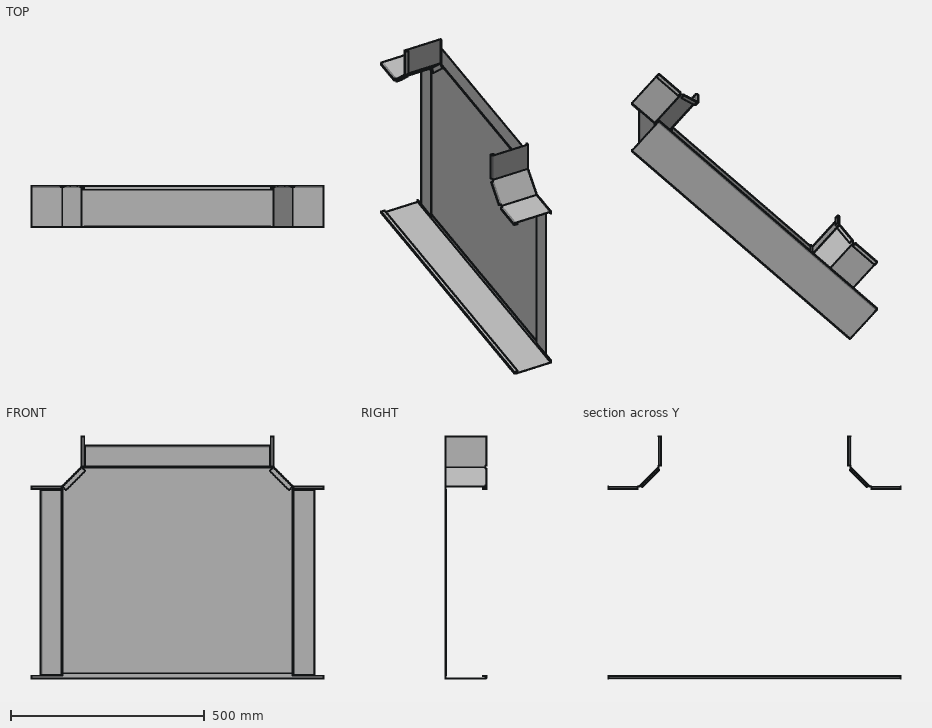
import cadquery as cq
import math

length = 754.0
depth = 107.0
height = 625.0

sheet = 1.5
bend_radius = 4.0
lip = 7.5
foot = 14.0
hem = 10.5
back_trim = 4.0
front_trim = 1.5

leg = 79.0
diagonal_run = 50.0
tongue_length = 56.0
tip_bevel = 4.0
tongue_gap = 1.5

half_body = length / 2 - leg
body_top = height - leg
shoulder = body_top - diagonal_run
half_neck = half_body - diagonal_run


def section_plane(start, end):
    """Section plane at the start of a run: local x to the right of travel, local y to the back."""
    dx, dz = end[0] - start[0], end[1] - start[1]
    return cq.Plane(origin=(start[0], 0, start[1]), xDir=(dz, 0, -dx), normal=(dx, 0, dz))


def back_lip(start, end, trim_start, trim_end):
    """Rounded bend, back lip and inward hem along one straight run."""
    run = math.dist(start, end) - trim_start - trim_end
    inner_radius = bend_radius - sheet
    bend_start = depth - bend_radius
    diagonal = math.sqrt(0.5)
    section = (
        cq.Workplane(section_plane(start, end))
        .workplane(offset=trim_start)
        .moveTo(0, bend_start)
        .threePointArc(
            (bend_radius * (1 - diagonal), bend_start + bend_radius * diagonal),
            (bend_radius, depth),
        )
        .lineTo(lip, depth)
        .lineTo(lip, depth - hem)
        .lineTo(lip - sheet, depth - hem)
        .lineTo(lip - sheet, depth - sheet)
        .lineTo(bend_radius, depth - sheet)
        .threePointArc(
            (bend_radius - inner_radius * diagonal, bend_start + inner_radius * diagonal),
            (sheet, bend_start),
        )
        .close()
    )
    return section.extrude(run)


def front_lip(start, end, width, trim_start, trim_end):
    """Flat front lip along one straight run."""
    run = math.dist(start, end) - trim_start - trim_end
    return (
        cq.Workplane(section_plane(start, end))
        .workplane(offset=trim_start)
        .rect(width, sheet, centered=False)
        .extrude(run)
    )


def web(outline):
    """Upright sheet between the front face and the back bend."""
    return cq.Workplane("XZ").polyline(outline).close().extrude(bend_radius - depth)


def make_straight_wall():
    """Wall along the whole bottom side."""
    right_end = (length / 2, 0)
    left_end = (-length / 2, 0)
    outline = [left_end, right_end, (length / 2, sheet), (-length / 2, sheet)]
    return (
        web(outline)
        .union(back_lip(right_end, left_end, 0, 0))
        .union(front_lip(right_end, left_end, lip, 0, 0))
        .union(front_lip((half_body, 0), (-half_body, 0), foot, 0, 0))
    )


def make_corner_wall():
    """Left corner wall: side leg, sloping part and top leg."""
    side_end = (-length / 2, shoulder)
    lower_bend = (-half_body, shoulder)
    upper_bend = (-half_neck, body_top)
    top_end = (-half_neck, height)
    miter = sheet * math.tan(math.pi / 8)
    outline = [
        side_end, lower_bend, upper_bend, top_end,
        (-half_neck + sheet, height),
        (-half_neck + sheet, body_top - miter),
        (-half_body + miter, shoulder - sheet),
        (-length / 2, shoulder - sheet),
    ]
    return (
        web(outline)
        .union(back_lip(side_end, lower_bend, 0, back_trim))
        .union(back_lip(lower_bend, upper_bend, back_trim, back_trim))
        .union(back_lip(upper_bend, top_end, back_trim, 0))
        .union(front_lip(side_end, lower_bend, lip, 0, front_trim))
        .union(front_lip(lower_bend, upper_bend, foot, 0, 0))
        .union(front_lip(upper_bend, top_end, lip, front_trim, 0))
    )


def tongue(start, end):
    """Set-back tongue along one edge of the panel, joggled by one sheet and bevelled at its tip."""
    tip_land = sheet / 2
    return (
        cq.Workplane(section_plane(start, end))
        .polyline([
            (-sheet, 0), (0, 0), (sheet, sheet),
            (tongue_length - tip_bevel, sheet),
            (tongue_length, 2 * sheet - tip_land),
            (tongue_length, 2 * sheet),
            (0, 2 * sheet), (-sheet, sheet),
        ])
        .close()
        .extrude(math.dist(start, end))
    )


def make_base(walls):
    """Base panel flush with the feet, with a tongue in each open end."""
    base = (
        cq.Workplane("XZ")
        .polyline([
            (-half_body, 0), (half_body, 0), (half_body, shoulder),
            (half_neck, body_top), (-half_neck, body_top), (-half_body, shoulder),
        ])
        .close()
        .extrude(-sheet)
    )
    inset = lip + tongue_gap
    side_top = shoulder - inset
    half_top = half_neck - inset
    tongue_edges = [
        ((-half_body, side_top), (-half_body, inset)),
        ((half_body, inset), (half_body, side_top)),
        ((half_top, body_top), (-half_top, body_top)),
    ]
    for start, end in tongue_edges:
        base = base.union(tongue(start, end))
    for wall in walls:
        base = base.cut(wall)
    return base


straight_wall = make_straight_wall()
left_corner = make_corner_wall()
right_corner = left_corner.mirror("YZ")
base = make_base([straight_wall, left_corner, right_corner])

bodies = [base, straight_wall, left_corner, right_corner]
result = cq.Compound.makeCompound([body.solids().val() for body in bodies])